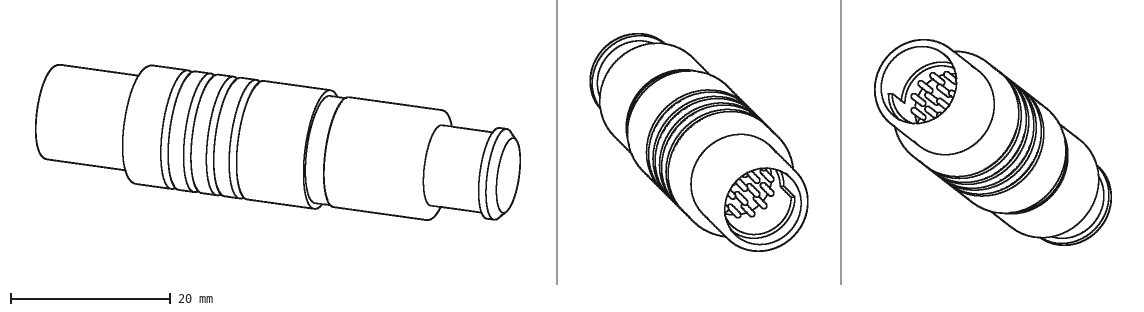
import cadquery as cq
import math

LENGTH = 60.5

NOSE_LENGTH = 12.0
NOSE_RADIUS = 6.0
NOSE_ROUND = 0.6

GRIP_END = 36.0
GRIP_RADIUS = 7.5
GRIP_ROUND = 0.6
GROOVE_COUNT = 4
FIRST_GROOVE_START = 17.2
LAST_GROOVE_START = 26.2
GROOVE_PITCH = (LAST_GROOVE_START - FIRST_GROOVE_START) / (GROOVE_COUNT - 1)
GROOVE_RAMP = 0.5
GROOVE_WIDTH = 0.95
GROOVE_DEPTH = 0.3
HOLLOW_RUN = 0.75
HOLLOW_RISE = 0.25

NECK_RADIUS = 6.8
SLEEVE_START = 38.5
SLEEVE_END = 51.0
SLEEVE_RADIUS = 6.95
SLEEVE_ROUND = 0.3

TAIL_RADIUS = 5.1
FLANGE_RADIUS = 5.75
FLANGE_WIDTH = 2.0
FLANGE_CHAMFER = 1.0

MOUTH_RADIUS = 4.95
BORE_RADIUS = 4.5
BORE_DEPTH = NOSE_LENGTH
HALF_SHELL_DEPTH = 2.9

PIN_RADIUS = 0.35
PIN_LENGTH = 4.0
PIN_TIP_DEPTH = BORE_DEPTH - PIN_LENGTH
PIN_EMBED = 0.3
PIN_CIRCLES = [(1, 0.0, 0.0), (6, 1.8, 30.0), (12, 3.5, 15.0)]

DIAGONAL = math.sqrt(0.5)


def rounded_corner(profile, start_x, radius, size):
    """Continue the profile up a front face and around its convex outer edge."""
    center_x = start_x + size
    center_r = radius - size
    profile = profile.lineTo(start_x, center_r)
    middle = (center_x - size * DIAGONAL, center_r + size * DIAGONAL)
    return profile.threePointArc(middle, (center_x, radius))


def grip_groove(profile, start_x):
    """Cut one groove: a sloping front side and a concave hollow behind it."""
    low_x = start_x + GROOVE_RAMP
    low_radius = GRIP_RADIUS - GROOVE_DEPTH
    end_x = start_x + GROOVE_WIDTH
    hollow_x = low_x + HOLLOW_RUN * (end_x - low_x)
    hollow_radius = low_radius + HOLLOW_RISE * GROOVE_DEPTH
    profile = profile.lineTo(start_x, GRIP_RADIUS).lineTo(low_x, low_radius)
    return profile.threePointArc((hollow_x, hollow_radius), (end_x, GRIP_RADIUS))


def make_body():
    """Revolve the half section of the outside about the X axis."""
    profile = cq.Workplane("XY").moveTo(0, 0)
    profile = rounded_corner(profile, 0, NOSE_RADIUS, NOSE_ROUND)
    profile = profile.lineTo(NOSE_LENGTH, NOSE_RADIUS)
    profile = rounded_corner(profile, NOSE_LENGTH, GRIP_RADIUS, GRIP_ROUND)
    for index in range(GROOVE_COUNT):
        profile = grip_groove(profile, FIRST_GROOVE_START + index * GROOVE_PITCH)
    profile = (
        profile.lineTo(GRIP_END, GRIP_RADIUS)
        .lineTo(GRIP_END, NECK_RADIUS)
        .lineTo(SLEEVE_START, NECK_RADIUS)
        .lineTo(SLEEVE_START, SLEEVE_RADIUS)
        .lineTo(SLEEVE_END - SLEEVE_ROUND, SLEEVE_RADIUS)
        .radiusArc((SLEEVE_END, SLEEVE_RADIUS - SLEEVE_ROUND), SLEEVE_ROUND)
        .lineTo(SLEEVE_END, TAIL_RADIUS)
        .lineTo(LENGTH - FLANGE_WIDTH, TAIL_RADIUS)
        .lineTo(LENGTH - FLANGE_WIDTH, FLANGE_RADIUS)
        .lineTo(LENGTH - FLANGE_CHAMFER, FLANGE_RADIUS)
        .lineTo(LENGTH, FLANGE_RADIUS - FLANGE_CHAMFER)
        .lineTo(LENGTH, 0)
        .close()
    )
    return profile.revolve(360, (0, 0, 0), (1, 0, 0))


def make_socket():
    """Stepped cavity that opens at the nose, with a lower half shell left standing."""
    mouth = cq.Workplane("YZ").circle(MOUTH_RADIUS).extrude(PIN_TIP_DEPTH)
    below_axis = (
        cq.Workplane("YZ", origin=(HALF_SHELL_DEPTH, 0, 0))
        .rect(2 * MOUTH_RADIUS, 2 * MOUTH_RADIUS)
        .extrude(PIN_TIP_DEPTH - HALF_SHELL_DEPTH)
        .translate((0, 0, -MOUTH_RADIUS))
    )
    bore = cq.Workplane("YZ").circle(BORE_RADIUS).extrude(BORE_DEPTH)
    return mouth.cut(below_axis).union(bore)


def pin_positions():
    """Pin centres in the YZ plane, on concentric circles."""
    positions = []
    for count, circle_radius, first_angle in PIN_CIRCLES:
        for index in range(count):
            angle = math.radians(first_angle + index * 360 / count)
            positions.append((circle_radius * math.cos(angle), circle_radius * math.sin(angle)))
    return positions


def make_pins():
    """Contact pins standing on the contact face and pointing to -X."""
    base_x = BORE_DEPTH + PIN_EMBED
    pin = (
        cq.Workplane("XY")
        .moveTo(PIN_TIP_DEPTH, 0)
        .radiusArc((PIN_TIP_DEPTH + PIN_RADIUS, PIN_RADIUS), PIN_RADIUS)
        .lineTo(base_x, PIN_RADIUS)
        .lineTo(base_x, 0)
        .close()
        .revolve(360, (0, 0, 0), (1, 0, 0))
        .val()
    )
    pins = cq.Workplane("XY")
    for y, z in pin_positions():
        pins = pins.add(pin.translate(cq.Vector(0, y, z)))
    return pins.combine()


result = make_body().cut(make_socket()).union(make_pins())